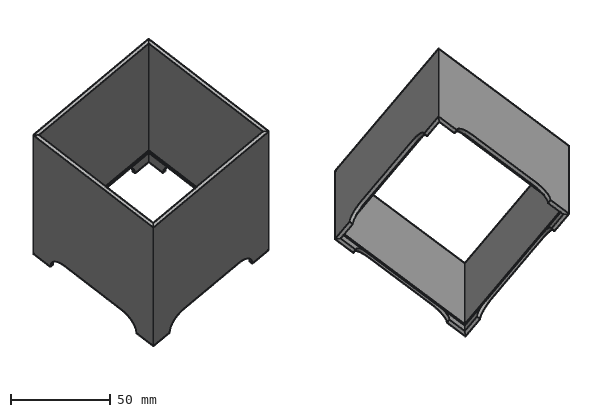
import cadquery as cq

OUTER_WIDTH = 84.2
HEIGHT = 100.0
WALL_THICKNESS = 2.1
FOOT_WIDTH = 12.0
ARCH_HEIGHT = 10.0
BAND_HEIGHT = 2.0
BAND_THICKNESS = 0.1

HALF_WIDTH = OUTER_WIDTH / 2
INNER_WIDTH = OUTER_WIDTH - 2 * WALL_THICKNESS
HALF_INNER = INNER_WIDTH / 2
HALF_ARCH = HALF_WIDTH - FOOT_WIDTH
HALF_ARCH_TOP = HALF_ARCH - ARCH_HEIGHT
SIDE_COUNT = 4


def arch_cutter():
    """Opening between the feet: a flat top with a quarter circle at each end."""
    middle = cq.Workplane("XY").box(
        2 * HALF_ARCH_TOP, WALL_THICKNESS, ARCH_HEIGHT, centered=(True, False, False)
    ).translate((0, -HALF_WIDTH, 0))
    ends = (
        cq.Workplane("XZ", origin=(0, -HALF_WIDTH, 0))
        .pushPoints([(-HALF_ARCH_TOP, 0), (HALF_ARCH_TOP, 0)])
        .circle(ARCH_HEIGHT)
        .extrude(-WALL_THICKNESS)
    )
    return middle.union(ends)


def wall(turn):
    """One wall with mitred ends and an arched foot, turned about the Z axis."""
    panel = (
        cq.Workplane("XY")
        .polyline([
            (-HALF_WIDTH, -HALF_WIDTH),
            (HALF_WIDTH, -HALF_WIDTH),
            (HALF_INNER, -HALF_INNER),
            (-HALF_INNER, -HALF_INNER),
        ])
        .close()
        .extrude(HEIGHT)
    )
    return panel.cut(arch_cutter()).rotate((0, 0, 0), (0, 0, 1), turn)


def lining_band():
    """Thin square band against the inner wall faces, level with the top of the arches."""
    opening = INNER_WIDTH - 2 * BAND_THICKNESS
    return (
        cq.Workplane("XY", origin=(0, 0, ARCH_HEIGHT - BAND_HEIGHT))
        .rect(INNER_WIDTH, INNER_WIDTH)
        .rect(opening, opening)
        .extrude(BAND_HEIGHT)
    )


walls = [wall(side * 360 / SIDE_COUNT) for side in range(SIDE_COUNT)]
band = lining_band()

result = cq.Compound.makeCompound([*[panel.val() for panel in walls], band.val()])